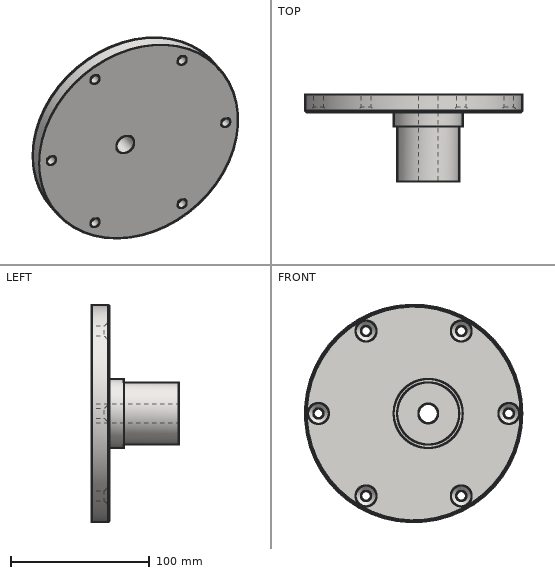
import cadquery as cq

disk_diameter = 157.0
disk_thickness = 13.0
rim_chamfer = 1.3

spigot_offset = 10.5
shoulder_diameter = 50.0
shoulder_length = 10.2
shaft_diameter = 44.9
overall_depth = 63.0
bore_diameter = 14.0

screw_count = 6
screw_circle_diameter = 137.5
screw_hole_diameter = 7.0
countersink_diameter = 15.0
countersink_angle = 90.0


def forward_cylinder(diameter, length, x_center=0.0):
    """Cylinder from the back face toward -Y."""
    return cq.Workplane("XZ").center(x_center, 0).circle(diameter / 2).extrude(length)


disk = forward_cylinder(disk_diameter, disk_thickness).faces("<Y").chamfer(rim_chamfer)
disk = (
    disk.faces("<Y")
    .workplane(origin=(0, -disk_thickness, 0))
    .polarArray(screw_circle_diameter / 2, 0, 360, screw_count)
    .cskHole(screw_hole_diameter, countersink_diameter, countersink_angle)
)

shoulder = forward_cylinder(shoulder_diameter, disk_thickness + shoulder_length, spigot_offset)
shaft = forward_cylinder(shaft_diameter, overall_depth, spigot_offset)
bore = forward_cylinder(bore_diameter, overall_depth, spigot_offset)

result = disk.union(shoulder).union(shaft).cut(bore)